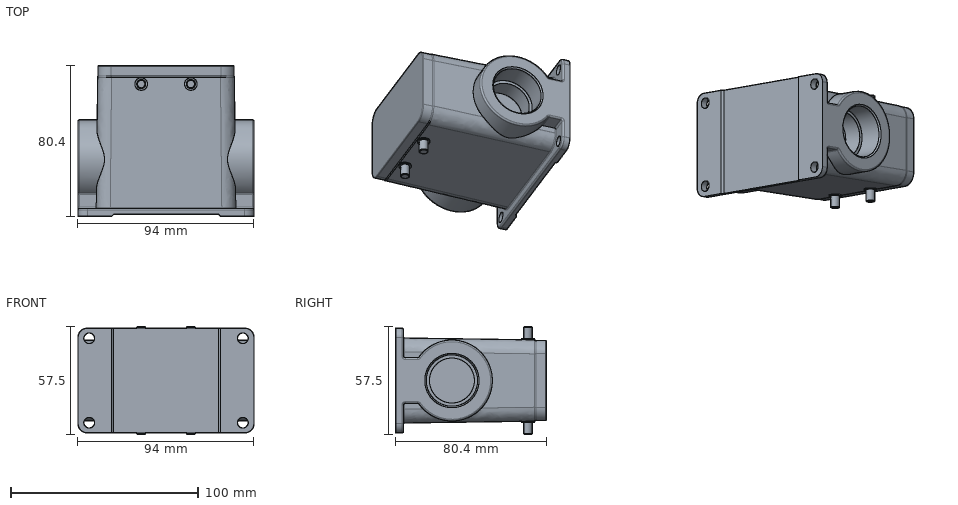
import cadquery as cq

FLANGE_LENGTH = 94.0
FLANGE_WIDTH = 56.0
FLANGE_THICKNESS = 4.2
FLANGE_CORNER_RADIUS = 5.0
RIM_ROUND = 0.9

HOLE_DIAMETER = 5.6
HOLE_SPACING_X = 82.0
HOLE_SPACING_Z = 45.0

RELIEF_DEPTH = 1.0
RELIEF_WIDTH = 58.0

BODY_BASE_LENGTH = 74.6
BODY_BASE_WIDTH = 45.6
BODY_END_LENGTH = 73.1
BODY_END_WIDTH = 43.5
BODY_CORNER_RADIUS = 7.5
BODY_END = 74.85
BODY_END_BEVEL = 0.7
BODY_FOOT_ROUND = 0.5
FOOT_SLAB_MARGIN = 1.0

COVER_LENGTH = 72.8
COVER_WIDTH = 42.8
COVER_CORNER_RADIUS = 7.0
COVER_END = 80.38
COVER_EDGE_ROUND = 0.38

BOSS_RADIUS = 21.6
BOSS_HEIGHT = 30.0
NECK_WIDTH = 24.4
BORE_RADIUS = 13.7
BORE_DEPTH = 13.5
BORE_CHAMFER = 0.8
INNER_BORE_RADIUS = 12.0
INNER_BORE_DEPTH = 24.0

PIN_SPACING = 26.5
PIN_HEIGHT = 70.6
PIN_RADIUS = 2.4
PIN_CHAMFER = 0.4
PIN_SPAN = 57.51
COLLAR_RADIUS = 3.35
COLLAR_SPAN = 44.8

PICK_MARGIN = 0.1


def rounded_block(length, width, radius, y_start, y_end):
    """Block along Y with rounded corners in the XZ plane."""
    return (
        cq.Workplane("XY")
        .box(length, y_end - y_start, width)
        .translate((0, (y_start + y_end) / 2, 0))
        .edges("|Y")
        .fillet(radius)
    )


def rounded_outline(length, width, radius):
    return cq.Sketch().rect(length, width).vertices().fillet(radius)


def x_cylinder(radius, x_start, x_end):
    """Cylinder on the boss axis."""
    return (
        cq.Workplane("YZ", origin=(x_start, BOSS_HEIGHT, 0))
        .circle(radius)
        .extrude(x_end - x_start)
    )


def flange_with_bosses():
    """Flange, bosses and necks, with one continuous rounded rim."""
    half_length = FLANGE_LENGTH / 2
    flange = rounded_block(FLANGE_LENGTH, FLANGE_WIDTH, FLANGE_CORNER_RADIUS, 0, FLANGE_THICKNESS)
    bosses = x_cylinder(BOSS_RADIUS, -half_length, half_length)
    neck = cq.Workplane("XY").box(FLANGE_LENGTH, BOSS_HEIGHT, NECK_WIDTH).translate((0, BOSS_HEIGHT / 2, 0))
    base = flange.union(neck).union(bosses)

    half_neck = NECK_WIDTH / 2
    neck_corners = cq.selectors.BoxSelector(
        (-half_length, FLANGE_THICKNESS - PICK_MARGIN, -half_neck - PICK_MARGIN),
        (half_length, BOSS_HEIGHT, half_neck + PICK_MARGIN),
    )
    base = base.edges("|X").edges(neck_corners).fillet(RIM_ROUND)

    above_mounting_face = cq.selectors.BoxSelector(
        (-FLANGE_LENGTH, FLANGE_THICKNESS - PICK_MARGIN, -FLANGE_WIDTH),
        (FLANGE_LENGTH, BOSS_HEIGHT + 2 * BOSS_RADIUS, FLANGE_WIDTH),
    )
    return base.edges(above_mounting_face).edges("not |X or >Z or <Z").fillet(RIM_ROUND)


def drafted_block(start_outline, y_start, end_outline, y_end):
    """Block along Y that blends from one outline into another."""
    return (
        cq.Workplane("XZ", origin=(0, y_start, 0))
        .placeSketch(start_outline, end_outline.moved(cq.Location(cq.Vector(0, 0, y_start - y_end))))
        .loft(ruled=True)
    )


def body():
    """Drafted housing with a short bevel down to the cover."""
    foot = rounded_outline(BODY_BASE_LENGTH, BODY_BASE_WIDTH, BODY_CORNER_RADIUS)
    end = rounded_outline(BODY_END_LENGTH, BODY_END_WIDTH, BODY_CORNER_RADIUS)
    joint = rounded_outline(COVER_LENGTH, COVER_WIDTH, COVER_CORNER_RADIUS)
    bevel_start = BODY_END - BODY_END_BEVEL
    housing = drafted_block(foot, 0, end, bevel_start)
    bevel = drafted_block(end, bevel_start, joint, BODY_END)
    return housing.union(bevel)


def body_with_foot():
    """Body on a slab of flange thickness, with the corner between them rounded."""
    slab_length = BODY_BASE_LENGTH + 2 * FOOT_SLAB_MARGIN
    slab_width = BODY_BASE_WIDTH + 2 * FOOT_SLAB_MARGIN
    slab = rounded_block(slab_length, slab_width, BODY_CORNER_RADIUS, 0, FLANGE_THICKNESS)
    foot_line = cq.selectors.BoxSelector(
        (-BODY_BASE_LENGTH / 2, FLANGE_THICKNESS - PICK_MARGIN, -BODY_BASE_WIDTH / 2),
        (BODY_BASE_LENGTH / 2, FLANGE_THICKNESS + PICK_MARGIN, BODY_BASE_WIDTH / 2),
    )
    return slab.union(body()).edges(foot_line).fillet(BODY_FOOT_ROUND)


def cover():
    block = rounded_block(COVER_LENGTH, COVER_WIDTH, COVER_CORNER_RADIUS, BODY_END, COVER_END)
    return block.faces(">Y").edges().fillet(COVER_EDGE_ROUND)


def pins():
    """Two locking pins through the body, each with a collar on both sides."""
    both_pins = cq.Workplane("XY")
    for x in (-PIN_SPACING / 2, PIN_SPACING / 2):
        plane = cq.Workplane("XY", origin=(x, PIN_HEIGHT, 0))
        pin = plane.circle(PIN_RADIUS).extrude(PIN_SPAN / 2, both=True).faces("|Z").edges().chamfer(PIN_CHAMFER)
        collar = plane.circle(COLLAR_RADIUS).extrude(COLLAR_SPAN / 2, both=True)
        both_pins = both_pins.add(pin.union(collar))
    return both_pins.combine()


def cable_bore():
    """Stepped blind bore entering from the -X boss face; the +X one is its mirror image."""
    face = -FLANGE_LENGTH / 2
    mouth = (
        cq.Workplane("YZ", origin=(face, BOSS_HEIGHT, 0))
        .circle(BORE_RADIUS + BORE_CHAMFER)
        .workplane(offset=BORE_CHAMFER)
        .circle(BORE_RADIUS)
        .loft()
    )
    bore = x_cylinder(BORE_RADIUS, face, face + BORE_DEPTH)
    inner = x_cylinder(INNER_BORE_RADIUS, face, face + INNER_BORE_DEPTH)
    return bore.union(inner).union(mouth)


def mounting_holes():
    return (
        cq.Workplane("XZ")
        .rect(HOLE_SPACING_X, HOLE_SPACING_Z, forConstruction=True)
        .vertices()
        .circle(HOLE_DIAMETER / 2)
        .extrude(-FLANGE_THICKNESS)
    )


def relief():
    half_width = RELIEF_WIDTH / 2
    return (
        cq.Workplane("XY")
        .polyline([
            (-half_width, 0),
            (half_width, 0),
            (half_width - RELIEF_DEPTH, RELIEF_DEPTH),
            (-half_width + RELIEF_DEPTH, RELIEF_DEPTH),
        ])
        .close()
        .extrude(FLANGE_WIDTH / 2, both=True)
    )


result = flange_with_bosses().union(body_with_foot()).union(cover()).union(pins())
bore = cable_bore()
result = result.cut(bore).cut(bore.mirror("YZ")).cut(mounting_holes()).cut(relief())